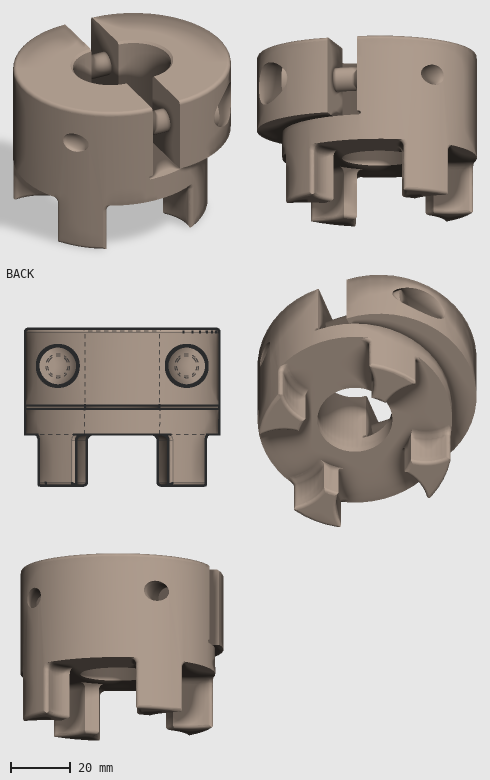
import cadquery as cq
import math


OUTER_RADIUS = 32.5
BORE_RADIUS = 12.5
BODY_HEIGHT = 35.4
RIM_FILLET = 1.25
BORE_CHAMFER = 0.75
FLANGE_THICKNESS = 8.5

HALF_SPLIT = 0.75
CAP_SHIFT = 8.7
SLIT_HEIGHT = 1.25
SLIT_DEPTH = 2.1
SLIT_TOP = FLANGE_THICKNESS + SLIT_HEIGHT

JAW_COUNT = 4
JAW_HEIGHT = 17.1
JAW_INNER_RADIUS = 19.45
GAP_RADIUS = 15.4
GAP_CENTER = 25.35
JAW_FILLET = 1.0
JAW_TIP_FILLET = 1.1
JAW_ROOT_FILLET = 2.0

SCREW_OFFSET = 21.5
SCREW_DEPTH = 12.45
SCREW_Z = BODY_HEIGHT - SCREW_DEPTH
SHANK_RADIUS = 4.0
SHANK_LENGTH = 30.0
HEAD_RADIUS = 6.5
HEAD_HEIGHT = 8.0
COUNTERBORE_RADIUS = 7.0
OUTLET_RADIUS = 3.4
HEAD_TOP_Y = 26.5
SEAT_Y = HEAD_TOP_Y - HEAD_HEIGHT
TIP_Y = SEAT_Y - SHANK_LENGTH

SCREW_SIDES = (-1, 1)
REACH = 2 * OUTER_RADIUS


def y_cylinder(radius, x, y_start, y_end):
    """Cylinder along Y at screw height, from y_start to y_end."""
    axis_point = cq.Vector(x, y_start, SCREW_Z)
    solid = cq.Solid.makeCylinder(radius, y_end - y_start, axis_point, cq.Vector(0, 1, 0))
    return cq.Workplane(obj=solid)


def make_ring():
    """Full bored cylinder with a rounded rim and a chamfered bore mouth."""
    ring = cq.Workplane().circle(OUTER_RADIUS).extrude(BODY_HEIGHT)
    ring = ring.faces(">Z").edges().fillet(RIM_FILLET)
    ring = ring.cut(cq.Workplane().circle(BORE_RADIUS).extrude(BODY_HEIGHT))
    bore_mouth = ring.faces(">Z").edges(cq.selectors.RadiusNthSelector(0))
    return bore_mouth.chamfer(BORE_CHAMFER)


def clamp_zone(y_start):
    """Block that covers everything beyond y_start and above the slit."""
    block = cq.Workplane().box(2 * REACH, REACH, REACH, centered=(True, False, False))
    return block.translate((0, y_start, SLIT_TOP))


def make_slit():
    """Thin round-ended slit that separates the cap from the flange."""
    slit_radius = SLIT_HEIGHT / 2
    straight_end = -SLIT_DEPTH + slit_radius
    return (
        cq.Workplane("YZ")
        .moveTo(REACH, FLANGE_THICKNESS)
        .lineTo(straight_end, FLANGE_THICKNESS)
        .threePointArc((-SLIT_DEPTH, FLANGE_THICKNESS + slit_radius), (straight_end, SLIT_TOP))
        .lineTo(REACH, SLIT_TOP)
        .close()
        .extrude(REACH, both=True)
    )


def make_jaws():
    """Jaws left standing between round gaps; the rounded gap roots flare into the hub face."""
    jaws = cq.Workplane().circle(OUTER_RADIUS).circle(JAW_INNER_RADIUS).extrude(-JAW_HEIGHT)
    gap = cq.Workplane().circle(GAP_RADIUS).extrude(-JAW_HEIGHT)
    gap = gap.faces(">Z").edges().fillet(JAW_ROOT_FILLET).translate((GAP_CENTER, 0, 0))
    for index in range(JAW_COUNT):
        jaws = jaws.cut(gap.rotate((0, 0, 0), (0, 0, 1), index * 360 / JAW_COUNT))

    middle_radius = (JAW_INNER_RADIUS + OUTER_RADIUS) / 2
    outer_corners = jaws.edges("|Z").filter(
        lambda edge: math.hypot(edge.Center().x, edge.Center().y) > middle_radius
    )
    corner_rounded = outer_corners.fillet(JAW_FILLET)
    tip_rounded = jaws.faces("<Z").edges().fillet(JAW_TIP_FILLET)
    return corner_rounded.intersect(tip_rounded)


def make_hub():
    """Hub with flange, jaws and the fixed half of the clamp, with holes for the screw tips."""
    hub = make_ring().cut(clamp_zone(-HALF_SPLIT)).cut(make_slit())
    hub = hub.union(make_jaws())
    for side in SCREW_SIDES:
        x = side * SCREW_OFFSET
        hub = hub.cut(y_cylinder(SHANK_RADIUS, x, TIP_Y, 0))
        hub = hub.cut(y_cylinder(OUTLET_RADIUS, x, -REACH, 0))
    return hub


def make_cap():
    """Loose half of the clamp with counterbored screw holes."""
    cap = make_ring().intersect(clamp_zone(HALF_SPLIT)).translate((0, CAP_SHIFT, 0))
    for side in SCREW_SIDES:
        x = side * SCREW_OFFSET
        cap = cap.cut(y_cylinder(SHANK_RADIUS, x, 0, REACH))
        cap = cap.cut(y_cylinder(COUNTERBORE_RADIUS, x, SEAT_Y, REACH))
    return cap


def make_screw(side):
    """Cap screw with a plain cylindrical head, placed on the given side of the bore."""
    x = side * SCREW_OFFSET
    shank = y_cylinder(SHANK_RADIUS, x, TIP_Y, SEAT_Y)
    return shank.union(y_cylinder(HEAD_RADIUS, x, SEAT_Y, HEAD_TOP_Y))


hub = make_hub()
cap = make_cap()
screws = [make_screw(side).val() for side in SCREW_SIDES]

result = cq.Compound.makeCompound([hub.val(), cap.val(), *screws])